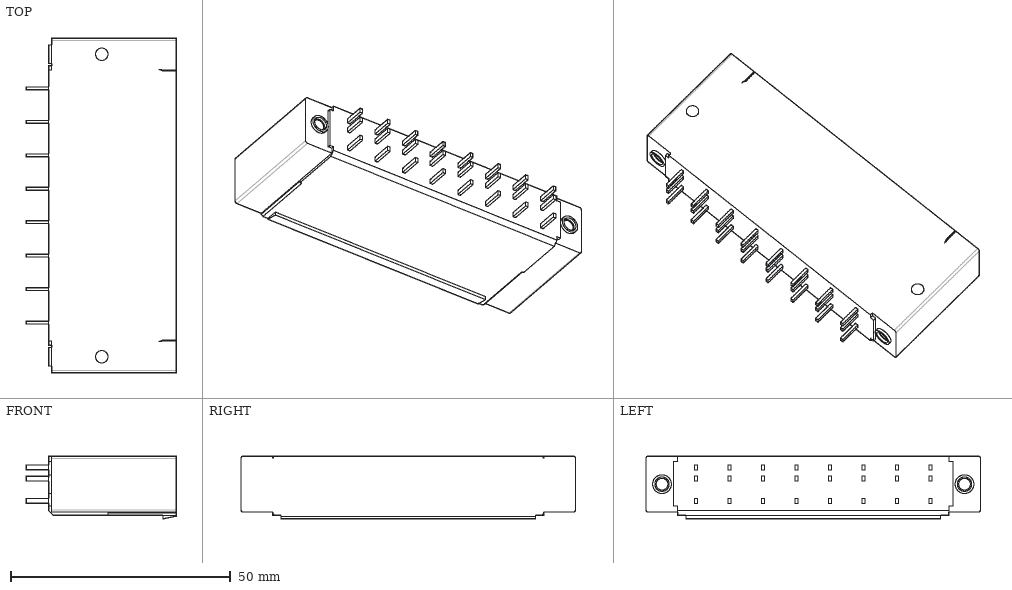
import cadquery as cq


length = 29.1
block_width = 61.7
block_height = 13.5
front_chamfer = 1.1
side_chamfer = 0.45
side_chamfer_start = 13.5

overall_width = 76.2
ear_height = 12.8
ear_setback = 0.7
ear_edge_radius = 0.5

tongue_width = 63.7
tongue_top = -1.3
tongue_bottom = -11.4

groove_width = 0.2
groove_depth = 0.45
groove_length = 3.05
notch_length = 0.9
notch_overlap = 0.15

bore_y = 34.45
bushing_diameter = 4.3
bushing_counterbore_diameter = 3.3
bushing_bore_diameter = 2.7
bushing_bore_depth = 6.1
bushing_counterbore_depth = ear_setback

ear_hole_diameter = 2.8
ear_hole_x = 12.1
ear_hole_depth = ear_height / 2

latch_width = 58.1
latch_length = 3.05
latch_bottom = -14.3
latch_rear_bottom = -13.7

pin_length = 5.1
pin_width = 0.7
pin_height = 1.15
pin_columns = 8
pin_pitch = 7.6
row_unit = pin_pitch / 3
middle_z = -ear_height / 2
pin_rows = [middle_z + 1.5 * row_unit, middle_z + 0.5 * row_unit, middle_z - 1.5 * row_unit]


def box(x_min, x_max, y_min, y_max, z_min, z_max):
    """Box given by its limits along each axis."""
    size = (x_max - x_min, y_max - y_min, z_max - z_min)
    return cq.Workplane("XY").box(*size, centered=False).translate((x_min, y_min, z_min))


def xz_prism(points, width):
    """Prism of an XZ outline, centred on Y = 0."""
    return cq.Workplane("XZ").polyline(points).close().extrude(width / 2, both=True)


def front_cylinder(diameter, depth, y):
    """Cylinder along +X from X = 0, at the mid height of an ear."""
    plane = cq.Workplane("YZ").center(y, middle_z)
    return plane.circle(diameter / 2).extrude(depth)


def block():
    """Connector block with a chamfered lower front edge and chamfered lower side edges at the rear."""
    body = xz_prism(
        [
            (0, 0),
            (length, 0),
            (length, -block_height),
            (front_chamfer, -block_height),
            (0, -block_height + front_chamfer),
        ],
        block_width,
    )
    for side in (-1, 1):
        edge_y = side * block_width / 2
        cut = (
            cq.Workplane("YZ", origin=(side_chamfer_start, 0, 0))
            .moveTo(edge_y, -block_height)
            .lineTo(edge_y - side * side_chamfer, -block_height)
            .lineTo(edge_y, -block_height + side_chamfer)
            .close()
            .extrude(length - side_chamfer_start)
        )
        body = body.cut(cut)
    return body


def ears():
    """Bar across the full width, rounded along its four outer lengthwise edges."""
    bar = box(ear_setback, length, -overall_width / 2, overall_width / 2, -ear_height, 0)
    return bar.edges("|X").fillet(ear_edge_radius)


def tongues():
    return box(0, ear_setback, -tongue_width / 2, tongue_width / 2, tongue_bottom, tongue_top)


def latch():
    start = length - latch_length
    outline = [
        (start, -block_height),
        (length, -block_height),
        (length, latch_rear_bottom),
        (start, latch_bottom),
    ]
    return xz_prism(outline, latch_width)


def pins():
    """Grid of rectangular pins in front of the block."""
    points = [
        ((column - (pin_columns - 1) / 2) * pin_pitch, z)
        for column in range(pin_columns)
        for z in pin_rows
    ]
    plane = cq.Workplane("YZ", origin=(-pin_length, 0, 0))
    return plane.pushPoints(points).rect(pin_width, pin_height).extrude(pin_length)


def bushing_bore(y):
    """Blind bore with a counterbore at its mouth."""
    counterbore = front_cylinder(bushing_counterbore_diameter, bushing_counterbore_depth, y)
    return front_cylinder(bushing_bore_diameter, bushing_bore_depth, y).union(counterbore)


def ear_hole(y):
    return (
        cq.Workplane("XY")
        .center(ear_hole_x, y)
        .circle(ear_hole_diameter / 2)
        .extrude(-ear_hole_depth)
    )


def relief_groove(side):
    """Groove in the edge of the block, its slanted front end reaching slightly into the ear."""
    seam = side * block_width / 2
    inner = seam - side * groove_width
    start = length - groove_length
    outline = [
        (start - notch_length, seam + side * notch_overlap),
        (start, inner),
        (length, inner),
        (length, seam),
        (start, seam),
    ]
    return cq.Workplane("XY").polyline(outline).close().extrude(-groove_depth)


result = block().union(ears()).union(tongues()).union(latch()).union(pins())
for side in (-1, 1):
    y = side * bore_y
    result = result.union(front_cylinder(bushing_diameter, ear_setback, y))
    result = result.cut(bushing_bore(y)).cut(ear_hole(y))
    result = result.cut(relief_groove(side))